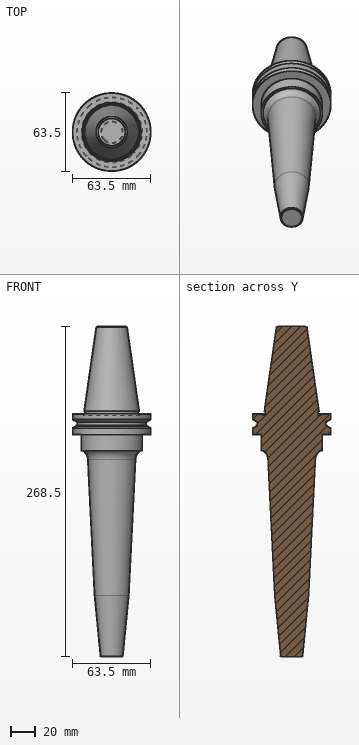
import cadquery as cq

overall_length = 268.5
nose_chamfer = 0.8
slim_nose_top = 50.2
extension_top = 160.5
collar_bottom = 167.2
flange_bottom = 180.4
flange_top = 197.3
shank_base = 199.5
gauge_line = 200.2

nose_diameter = 18.3
slim_nose_diameter = 28.0
extension_diameter = 39.0
collar_diameter = 49.7
flange_diameter = 63.5
shank_neck_diameter = 43.5
gauge_diameter = 44.5
shank_end_diameter = 25.2
shank_end_chamfer = 1.5
shank_end_chamfer_height = 1.0

groove_floor_diameter = 56.0
groove_step_diameter = 57.2
groove_step_bottom = 187.3
groove_floor_bottom = 188.1
groove_floor_top = 190.5
groove_mouth_bottom = 185.7
groove_mouth_top = 192.7

relief_diameter = 47.8
relief_floor_diameter = 46.2
relief_depth = 1.0

fillet_outer_diameter = 46.5
fillet_mid_diameter = 41.3
fillet_mid_height = 164.5


def radius_point(diameter, height):
    return (diameter / 2, height)


def make_holder():
    relief_floor = flange_top - relief_depth
    profile = (
        cq.Workplane("XZ")
        .moveTo(0, 0)
        .lineTo(nose_diameter / 2 - nose_chamfer, 0)
        .lineTo(*radius_point(nose_diameter, nose_chamfer))
        .lineTo(*radius_point(slim_nose_diameter, slim_nose_top))
        .lineTo(*radius_point(extension_diameter, extension_top))
        .threePointArc(
            radius_point(fillet_mid_diameter, fillet_mid_height),
            radius_point(fillet_outer_diameter, collar_bottom),
        )
        .lineTo(*radius_point(collar_diameter, collar_bottom))
        .lineTo(*radius_point(collar_diameter, flange_bottom))
        .lineTo(*radius_point(flange_diameter, flange_bottom))
        .lineTo(*radius_point(flange_diameter, groove_mouth_bottom))
        .lineTo(*radius_point(groove_step_diameter, groove_step_bottom))
        .lineTo(*radius_point(groove_step_diameter, groove_floor_bottom))
        .lineTo(*radius_point(groove_floor_diameter, groove_floor_bottom))
        .lineTo(*radius_point(groove_floor_diameter, groove_floor_top))
        .lineTo(*radius_point(flange_diameter, groove_mouth_top))
        .lineTo(*radius_point(flange_diameter, flange_top))
        .lineTo(*radius_point(relief_diameter, flange_top))
        .lineTo(*radius_point(relief_floor_diameter, relief_floor))
        .lineTo(*radius_point(shank_neck_diameter, relief_floor))
        .lineTo(*radius_point(shank_neck_diameter, shank_base))
        .lineTo(*radius_point(gauge_diameter, shank_base))
        .lineTo(*radius_point(gauge_diameter, gauge_line))
        .lineTo(*radius_point(shank_end_diameter, overall_length - shank_end_chamfer_height))
        .lineTo(shank_end_diameter / 2 - shank_end_chamfer, overall_length)
        .lineTo(0, overall_length)
        .close()
    )
    return profile.revolve(360, (0, 0, 0), (0, 1, 0))


result = make_holder()